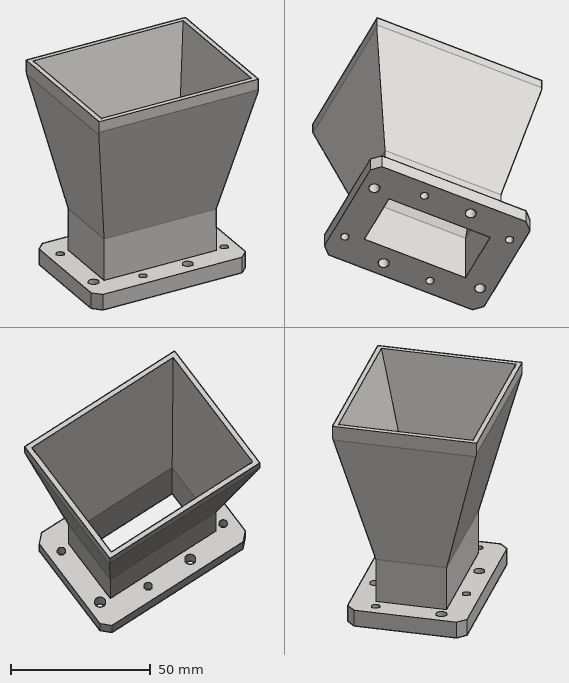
import cadquery as cq

height = 80.0
rim_x = 53.4
rim_y = 65.5
flange_height = 6.4
neck_top = 23.3

bore_x = 20.2
bore_y = 40.2
neck_wall = 3.0
neck_x = bore_x + 2 * neck_wall
neck_y = bore_y + 2 * neck_wall

mouth_x = 49.8
mouth_y = 61.7
flare_x = mouth_x - bore_x
flare_y = mouth_y - bore_y

flange_x = 44.2
flange_y = 63.5
flange_chamfer = 3.1

large_hole = 3.9
small_hole = 3.0
end_hole_x = 12.2
end_hole_y = 26.9
side_hole_x = 16.9
side_hole_y = 9.2


def block(size_x, size_y, bottom, top):
    """Box centred on the Z axis between two heights."""
    return cq.Workplane("XY").workplane(offset=bottom).rect(size_x, size_y).extrude(top - bottom)


def flared_block(size_x, size_y):
    """Tapered block that widens by the horn flare from the neck to the top."""
    return (
        cq.Workplane("XY")
        .workplane(offset=neck_top)
        .rect(size_x, size_y)
        .workplane(offset=height - neck_top)
        .rect(size_x + flare_x, size_y + flare_y)
        .loft(ruled=True)
    )


def flange():
    """Chamfered plate with diagonally symmetric holes."""
    plate = block(flange_x, flange_y, 0, flange_height).edges("|Z").chamfer(flange_chamfer)
    for sign in (1, -1):
        large_points = [
            (sign * end_hole_x, -sign * end_hole_y),
            (sign * side_hole_x, sign * side_hole_y),
        ]
        small_points = [
            (sign * end_hole_x, sign * end_hole_y),
            (sign * side_hole_x, -sign * side_hole_y),
        ]
        for points, diameter in ((large_points, large_hole), (small_points, small_hole)):
            holes = cq.Workplane("XY").pushPoints(points).circle(diameter / 2).extrude(flange_height)
            plate = plate.cut(holes)
    return plate


def horn():
    """Flared outer body, trimmed to upright faces that form the rim."""
    return flared_block(neck_x, neck_y).intersect(block(rim_x, rim_y, neck_top, height))


neck = block(neck_x, neck_y, 0, neck_top)
body = flange().union(neck).union(horn())
passage = block(bore_x, bore_y, 0, neck_top).union(flared_block(bore_x, bore_y))
result = body.cut(passage)